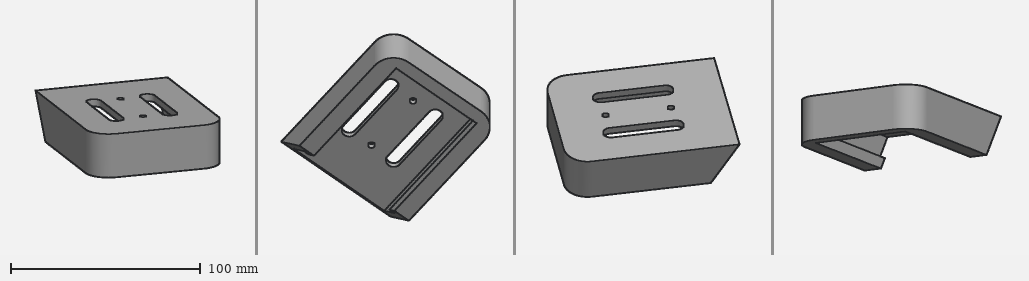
import cadquery as cq

length = 91.9
width = 74.0
height = 24.0
front_setback = 15.4
corner_radius = 12.7
end_skew = 0.5
long_side = length + end_skew * corner_radius / width

side_wall = 6.4
top_thickness = 4.0
lip_height = 6.5
lip_reach = 3.4
end_wall = 7.3
channel_length = length - end_wall
channel_width = width - 2 * side_wall
opening_width = channel_width - 2 * lip_reach

opening_center_x = 47.5
slot_length = 43.1
slot_width = 8.1
slot_offset = 15.0
hole_diameter = 3.5
hole_spacing = 35.0


def make_body():
    """Sloped-end block with two rounded vertical edges at the far end."""
    profile = [(0, height), (long_side, height), (long_side, 0), (front_setback, 0)]
    block = cq.Workplane("XZ").polyline(profile).close().extrude(width / 2, both=True)
    outline = [
        (0, -width / 2),
        (long_side - end_skew, -width / 2),
        (long_side, width / 2),
        (0, width / 2),
    ]
    plan = cq.Workplane("XY").polyline(outline).close().extrude(height)
    plan = plan.edges("|Z and (not <X)").fillet(corner_radius)
    return block.intersect(plan)


def make_pocket(pocket_width, bottom, top):
    """Cutting block for one level of the channel, from the front to the end wall."""
    return cq.Workplane("XY", origin=(0, 0, bottom)).box(
        channel_length, pocket_width, top - bottom, centered=(False, True, False)
    )


def cut_channel(body):
    channel_top = height - top_thickness
    channel = make_pocket(channel_width, lip_height, channel_top)
    opening = make_pocket(opening_width, 0, channel_top)
    return body.cut(channel).cut(opening)


def cut_top_openings(body):
    plate = cq.Workplane("XY", origin=(opening_center_x, 0, height))
    slots = plate.pushPoints([(0, -slot_offset), (0, slot_offset)])
    slots = slots.slot2D(slot_length, slot_width).extrude(-top_thickness)
    holes = plate.pushPoints([(-hole_spacing / 2, 0), (hole_spacing / 2, 0)])
    holes = holes.circle(hole_diameter / 2).extrude(-top_thickness)
    return body.cut(slots).cut(holes)


result = cut_top_openings(cut_channel(make_body()))